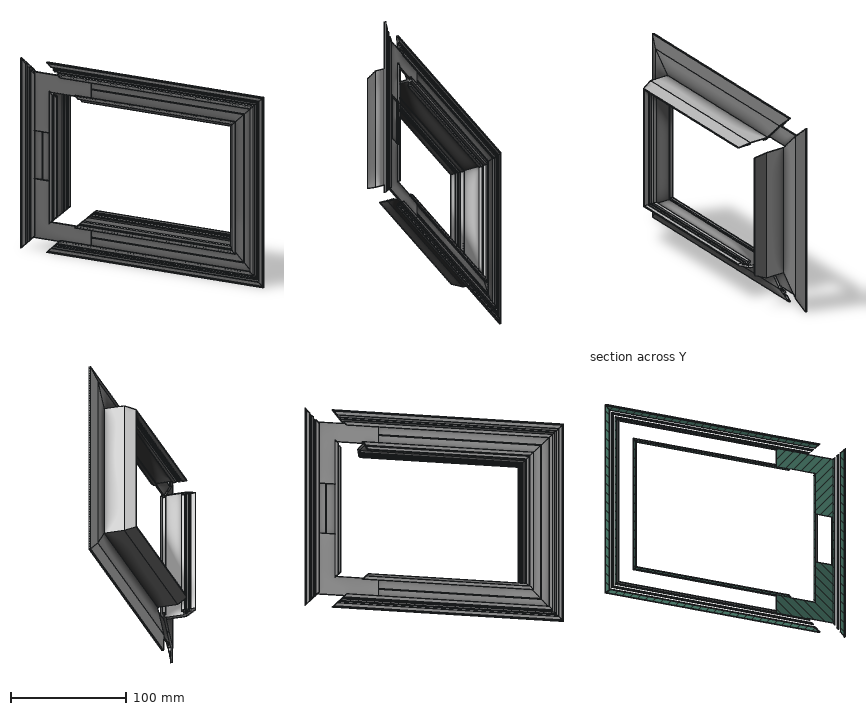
import cadquery as cq

overall_width = 231.0
frame_height = 177.0
frame_depth = 33.0
pull_out = 24.5
frame_width = overall_width - pull_out

section_width = 32.5
lip_height = 0.5
lip_tip_width = 0.7
lip_root_width = 1.2
edge_depth = 4.6
edge_tip = 1.2
slope_length = 9.7
groove_roof = 1.5
first_tooth_end = 4.2
second_tooth_start = 6.2
second_tooth_end = 7.6
leg_start = 9.7
leg_end = 11.3
foot_thickness = 1.2
foot_reach = 1.5
root_chamfer = 0.5
plate_thickness = 2.0
wall_thickness = 1.5

inner_leg_start = 28.0
inner_leg_end = 29.8
inner_foot_reach = 1.2
rib_thickness = 1.5
hook_rise = 1.5
hook_thickness = 1.5

mark_centre = 19.5
mark_width = 1.0
mark_depth = 0.7

bracket_length = 54.7

plate_back = lip_height + edge_depth
plate_front = plate_back - plate_thickness
foot_back = lip_height + foot_thickness
wall_outer = section_width - edge_depth
wall_inner = wall_outer + wall_thickness
slot_start = leg_end
slot_end = inner_leg_start


def groove_depth(along):
    """Depth of a tooth groove, measured from the tooth tips, at a distance from the edge's end."""
    slope_rise = (edge_depth - edge_tip) / slope_length
    return min(edge_tip + along * slope_rise, edge_depth) - groove_roof


def chamfered_root(along):
    """Chamfer between the roof of a groove and the tooth or leg that closes it."""
    roof_end = along - root_chamfer
    return [(roof_end, groove_depth(roof_end)), (along, groove_depth(along) - root_chamfer)]


def toothed_edge(inner_depth):
    """Points (distance from the end, depth from the tooth tips), from the first tooth to the foot."""
    return [
        (first_tooth_end, 0),
        (first_tooth_end, groove_depth(first_tooth_end)),
        *chamfered_root(second_tooth_start),
        (second_tooth_start, 0),
        (second_tooth_end, 0),
        (second_tooth_end, groove_depth(second_tooth_end)),
        *chamfered_root(leg_start),
        (leg_start, 0),
        (leg_end + foot_reach, 0),
        (leg_end + foot_reach, foot_thickness),
        (leg_end, foot_thickness),
        (leg_end, inner_depth),
    ]


def section_outline():
    """Closed outline as (Y, distance inward from the rail's outer edge)."""
    lip = [(0, 0), (0, lip_tip_width), (lip_height, lip_root_width)]
    plate_edge = [
        (lip_height + depth, along)
        for along, depth in toothed_edge(edge_depth - plate_thickness)
    ]
    mark = [
        (plate_front, mark_centre - mark_width / 2),
        (plate_front + mark_depth, mark_centre),
        (plate_front, mark_centre + mark_width / 2),
    ]
    inner_corner = [
        (plate_front, inner_leg_start),
        (foot_back, inner_leg_start),
        (foot_back, inner_leg_start - inner_foot_reach),
        (lip_height, inner_leg_start - inner_foot_reach),
        (lip_height, inner_leg_end),
        (plate_front - root_chamfer, inner_leg_end),
        (plate_front, inner_leg_end + root_chamfer),
        (plate_front, section_width),
        (plate_front + rib_thickness + hook_rise, section_width),
        (plate_front + rib_thickness + hook_rise, section_width - hook_thickness),
        (plate_front + rib_thickness, section_width - hook_thickness),
        (plate_front + rib_thickness, wall_inner),
    ]
    wall_edge = [
        (frame_depth - along, section_width - depth)
        for along, depth in toothed_edge(edge_depth - wall_thickness)
    ]
    outer_faces = [
        (frame_depth, section_width),
        (frame_depth, section_width - edge_tip),
        (frame_depth - slope_length, wall_outer),
        (plate_back, wall_outer),
        (plate_back, slope_length),
        (lip_height + edge_tip, 0),
    ]
    return lip + plate_edge + mark + inner_corner + wall_edge[::-1] + outer_faces


def mitred_rail(length, span):
    """Rail along X at the bottom of a frame of the given span, mitred at 45 degrees at both ends."""
    bar = cq.Workplane("YZ").polyline(section_outline()).close().extrude(length)
    mitre = (
        cq.Workplane("XZ")
        .polyline([
            (0, 0),
            (length, 0),
            (length - section_width, section_width),
            (section_width, section_width),
        ])
        .close()
        .extrude(-frame_depth)
    )
    return bar.intersect(mitre).translate((-length / 2, 0, -span / 2))


def frame_rails():
    """Bottom, left, top and right rails, the left one pulled out of the frame."""
    long_rail = mitred_rail(frame_width, frame_height)
    short_rail = mitred_rail(frame_height, frame_width)
    rails = []
    for turn, rail in enumerate([long_rail, short_rail, long_rail, short_rail]):
        rails.append(rail.rotate((0, 0, 0), (0, 1, 0), 90 * turn))
    rails[1] = rails[1].translate((-pull_out, 0, 0))
    return rails


def corner_bracket(side):
    """Flat L joining the left rail to the top (side = 1) or bottom (side = -1) rail."""
    arm_width = slot_end - slot_start
    outline = [
        (0, 0),
        (bracket_length, 0),
        (bracket_length, -side * arm_width),
        (arm_width, -side * arm_width),
        (arm_width, -side * bracket_length),
        (0, -side * bracket_length),
    ]
    corner_x = slot_start - frame_width / 2 - pull_out
    corner_z = side * (frame_height / 2 - slot_start)
    plate = cq.Workplane("XZ").polyline(outline).close().extrude(foot_back - plate_front)
    return plate.translate((corner_x, foot_back, corner_z))


rails = frame_rails()
brackets = [corner_bracket(side) for side in (1, -1)]
result = cq.Compound.makeCompound([body.val() for body in rails + brackets])